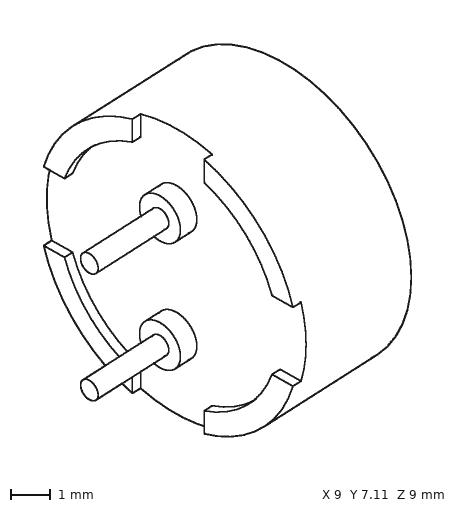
import cadquery as cq

can_diameter = 9.0
can_height = 3.91
rim_chamfer = 0.03

foot_height = 0.3
foot_inner_diameter = 7.61
foot_gap = 2.48

pin_spacing = 4.0
pin_diameter = 0.61
pin_length = 3.2
collar_diameter = 1.42
collar_height = 0.6


def rod(diameter, length, z=0):
    """Cylinder that starts on the seating face and runs toward -Y."""
    return cq.Workplane("XZ").center(0, z).circle(diameter / 2).extrude(length)


def make_can():
    """Plain can with its far rim, on the +Y side, lightly broken."""
    return rod(can_diameter, -can_height).faces(">Y").edges().chamfer(rim_chamfer)


def make_feet():
    ring = rod(can_diameter, foot_height).cut(rod(foot_inner_diameter, foot_height))
    gaps = (
        cq.Workplane("XZ")
        .rect(can_diameter, foot_gap)
        .extrude(foot_height)
        .union(cq.Workplane("XZ").rect(foot_gap, can_diameter).extrude(foot_height))
    )
    return ring.cut(gaps)


def make_pin(z):
    return rod(collar_diameter, collar_height, z).union(rod(pin_diameter, pin_length, z))


result = make_can().union(make_feet())
for side in (-1, 1):
    result = result.union(make_pin(side * pin_spacing / 2))